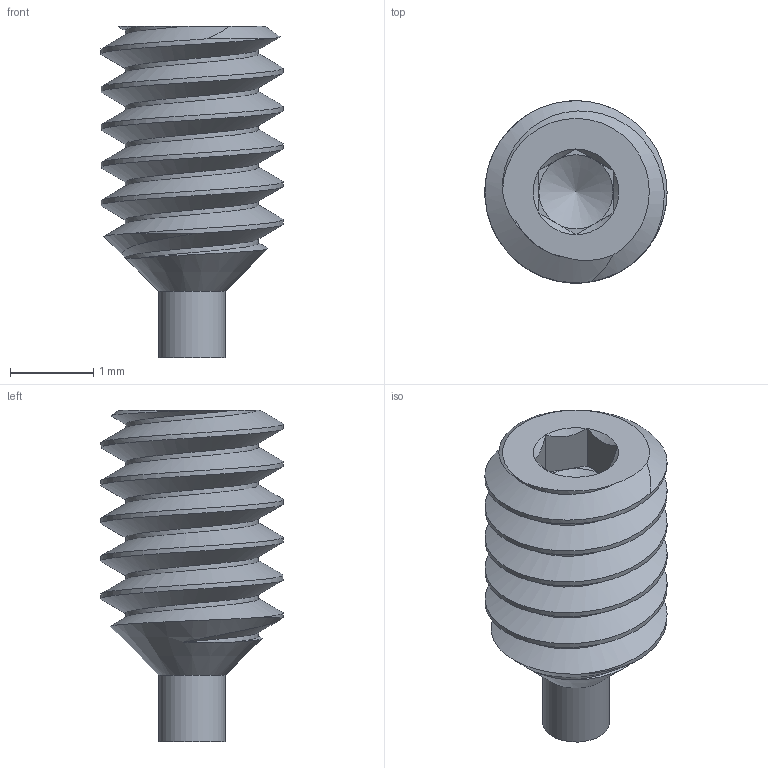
import cadquery as cq
import math

INCH = 25.4
TOTAL_LENGTH = 5 / 32 * INCH
DOG_LENGTH = 1 / 32 * INCH
DOG_RADIUS = 0.40
TOP_FACE_RADIUS = 0.88
TOP_CHAMFER_ANGLE = 35.0

MAJOR_RADIUS = 0.086 * INCH / 2
PITCH = INCH / 56
FLAT_WIDTH = PITCH / 8
FLANK_ANGLE = 30.0
THREAD_DEPTH = (PITCH / 2 - FLAT_WIDTH) / math.tan(math.radians(FLANK_ANGLE))
ROOT_RADIUS = MAJOR_RADIUS - THREAD_DEPTH
GROOVE_START_HEIGHT = 0.945
GROOVE_TURNS = 7.5
GROOVE_OVERCUT = 0.03

HEX_FLATS = 0.035 * INCH
HEX_CORNERS = HEX_FLATS / math.cos(math.pi / 6)
SOCKET_DEPTH = 0.55
MOUTH_CHAMFER_ANGLE = 45.0
DRILL_POINT_ANGLE = 118.0


def make_blank():
    """Turned blank: dog point, 45 degree cone, shank and top chamfer."""
    cone_top = DOG_LENGTH + MAJOR_RADIUS - DOG_RADIUS
    chamfer_drop = (MAJOR_RADIUS - TOP_FACE_RADIUS) * math.tan(math.radians(TOP_CHAMFER_ANGLE))
    return (
        cq.Workplane("XZ")
        .polyline([
            (0, 0),
            (DOG_RADIUS, 0),
            (DOG_RADIUS, DOG_LENGTH),
            (MAJOR_RADIUS, cone_top),
            (MAJOR_RADIUS, TOTAL_LENGTH - chamfer_drop),
            (TOP_FACE_RADIUS, TOTAL_LENGTH),
            (0, TOTAL_LENGTH),
        ])
        .close()
        .revolve(360, (0, 0), (0, 1))
    )


def make_thread_groove():
    """Trapezoidal groove swept along a right-handed helix."""
    outer_radius = MAJOR_RADIUS + GROOVE_OVERCUT
    half_root = FLAT_WIDTH / 2
    flank_rise = (outer_radius - ROOT_RADIUS) * math.tan(math.radians(FLANK_ANGLE))
    half_mouth = half_root + flank_rise
    helix = cq.Wire.makeHelix(
        PITCH, GROOVE_TURNS * PITCH, ROOT_RADIUS, cq.Vector(0, 0, GROOVE_START_HEIGHT)
    )
    return (
        cq.Workplane("XZ", origin=(0, 0, GROOVE_START_HEIGHT))
        .polyline([
            (ROOT_RADIUS, -half_root),
            (outer_radius, -half_mouth),
            (outer_radius, half_mouth),
            (ROOT_RADIUS, half_root),
        ])
        .close()
        .sweep(cq.Workplane(helix), isFrenet=True)
    )


def make_cone(radius, base_height, depth):
    """Cone pointing down, with its base circle at base_height."""
    return cq.Workplane(
        cq.Solid.makeCone(radius, 0, depth, cq.Vector(0, 0, base_height), cq.Vector(0, 0, -1))
    )


def make_socket():
    """Hexagon socket with a chamfered mouth and a drill point below its floor."""
    floor_height = TOTAL_LENGTH - SOCKET_DEPTH
    hexagon = (
        cq.Workplane("XY", origin=(0, 0, floor_height))
        .transformed(rotate=(0, 0, 90))
        .polygon(6, HEX_CORNERS)
        .extrude(SOCKET_DEPTH)
    )
    mouth_radius = HEX_CORNERS / 2
    mouth = make_cone(
        mouth_radius, TOTAL_LENGTH, mouth_radius * math.tan(math.radians(MOUTH_CHAMFER_ANGLE))
    )
    drill_radius = HEX_FLATS / 2
    drill_depth = drill_radius / math.tan(math.radians(DRILL_POINT_ANGLE / 2))
    return hexagon.union(mouth).union(make_cone(drill_radius, floor_height, drill_depth))


result = make_blank().cut(make_thread_groove()).cut(make_socket())